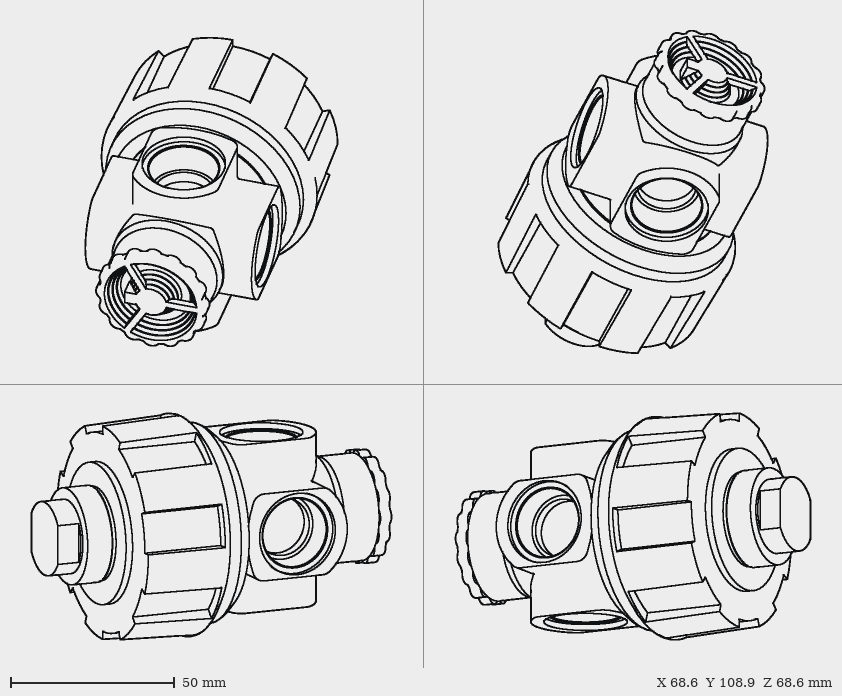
import cadquery as cq
import math


OVERALL_LENGTH = 108.9
SELECT_MARGIN = 0.1

PORT_REACH = 26.5
PORT_HALF_WIDTH = 13.6
PORT_FRONT_RADIUS = 16.8
PORT_BACK_RADIUS = 32.7
PORT_EDGE_FILLET = 3.8
PORT_CORNER_FILLET = 1.4
SEAT_RADIUS = 12.7
SEAT_DEPTH = 1.9
THREAD_RADIUS = 10.7
THREAD_END_RADIUS = 10.1
THREAD_CHAMFER = 0.3
THREAD_END_DEPTH = 10.8
DRILL_RADIUS = 8.9
DRILL_END_DEPTH = 14.5
DRILL_TIP_ANGLE = 118.0

PAD_RADIUS = 23.3
PAD_FRONT = 16.2
RING_FACE = PORT_FRONT_RADIUS
RING_FACE_RADIUS = 27.7
RING_SHOULDER_RADIUS = 30.3
RING_SHOULDER = 19.7
RING_RADIUS = 30.9
RING_FRONT = 20.9
RING_BACK = 24.6

NECK_RADIUS = 16.6
COLLAR_RADIUS = 17.6
COLLAR_FRONT = -17.9
NECK_START = -20.4
NECK_END = -32.0
NECK_ROOT = -8.7

RIM_RADIUS = 34.3
RIM_FRONT = 27.0
RIM_BACK = 27.9
RIM_FILLET = 1.5
BONNET_BACK = 53.4
LUG_COUNT = 8
LUG_PITCH = 360 / LUG_COUNT
LUG_SPAN = LUG_PITCH / 2
LUG_BACK_RADIUS = 33.4

FLANGE_RADIUS = 21.9
FLANGE_BACK = 55.6
HUB_NECK_RADIUS = 14.6
HUB_NECK_BACK = 56.9
HUB_RADIUS = 14.9
HUB_BACK = 65.3
STEM_RADIUS = 11.4
STEM_FLAT = 9.7
STEM_FLAT_LENGTH = 7.0

LOBE_COUNT = 16
LOBE_RADIUS = 2.9
KNOB_RADIUS = COLLAR_RADIUS
KNOB_FRONT = -36.1
KNOB_FILLET = 0.9
NOTCH_FILLET = 0.4
PLUG_RADIUS = 13.6
PLUG_END = -27.8
CHANNEL_FLOOR = -30.6
CHANNEL_INNER_FLOOR_RADIUS = 8.3
CHANNEL_INNER_FRONT_RADIUS = 4.8
CHANNEL_OUTER_FLOOR_RADIUS = 11.1
CHANNEL_OUTER_FRONT_RADIUS = 15.0
CHANNEL_STEPS = 4
CHANNEL_TREAD_SLOPE = 0.7
SPOKE_COUNT = 3
SPOKE_WIDTH = 2.3
SPOKE_THICKNESS = 2.2
POINTER_WIDTH = 4.1


def turned(points, angle=360):
    """Revolve a closed outline of (radius, y) points about the Y axis."""
    return cq.Workplane("XY").polyline(points).close().revolve(angle, (0, 0, 0), (0, 1, 0))


def about_y(shape, angle):
    return shape.rotate((0, 0, 0), (0, 1, 0), angle)


def port_pair():
    """Two opposite ports along Z as one bar."""
    front_corner = -math.sqrt(PORT_FRONT_RADIUS**2 - PORT_HALF_WIDTH**2)
    back_centre = PORT_FRONT_RADIUS - PORT_BACK_RADIUS
    back_corner = back_centre + math.sqrt(PORT_BACK_RADIUS**2 - PORT_HALF_WIDTH**2)
    return (
        cq.Workplane("XY")
        .moveTo(-PORT_HALF_WIDTH, front_corner)
        .threePointArc((0, -PORT_FRONT_RADIUS), (PORT_HALF_WIDTH, front_corner))
        .lineTo(PORT_HALF_WIDTH, back_corner)
        .threePointArc((0, PORT_FRONT_RADIUS), (-PORT_HALF_WIDTH, back_corner))
        .close()
        .extrude(PORT_REACH, both=True)
        .edges("|Z")
        .fillet(PORT_EDGE_FILLET)
    )


def port_cross():
    cross = port_pair().union(about_y(port_pair(), 90))
    middle = PORT_HALF_WIDTH + SELECT_MARGIN
    corners = cq.selectors.BoxSelector(
        (-middle, -PORT_FRONT_RADIUS, -middle), (middle, PORT_FRONT_RADIUS, middle)
    )
    return cross.edges("|Y").edges(corners).fillet(PORT_CORNER_FILLET)


def port_bore():
    """Seat, threaded bore and pointed drill hole of the +Z port."""
    seat = PORT_REACH - SEAT_DEPTH
    thread_end = PORT_REACH - THREAD_END_DEPTH
    drill_end = PORT_REACH - DRILL_END_DEPTH
    tip = drill_end - DRILL_RADIUS / math.tan(math.radians(DRILL_TIP_ANGLE / 2))
    outline = [
        (0, PORT_REACH),
        (SEAT_RADIUS, PORT_REACH),
        (SEAT_RADIUS, seat),
        (THREAD_RADIUS + THREAD_CHAMFER, seat),
        (THREAD_RADIUS, seat - THREAD_CHAMFER),
        (THREAD_END_RADIUS, thread_end),
        (DRILL_RADIUS, thread_end),
        (DRILL_RADIUS, drill_end),
        (0, tip),
    ]
    return cq.Workplane("XZ").polyline(outline).close().revolve(360, (0, 0, 0), (0, 1, 0))


def make_housing():
    core = turned([
        (0, RING_BACK),
        (RING_RADIUS, RING_BACK),
        (RING_RADIUS, RING_FRONT),
        (RING_SHOULDER_RADIUS, RING_SHOULDER),
        (RING_FACE_RADIUS, RING_FACE),
        (PAD_RADIUS, RING_FACE),
        (PAD_RADIUS, PAD_FRONT),
        (0, PAD_FRONT),
    ])
    neck = turned([
        (0, NECK_ROOT),
        (COLLAR_RADIUS, NECK_ROOT),
        (COLLAR_RADIUS, COLLAR_FRONT),
        (NECK_RADIUS, NECK_START),
        (NECK_RADIUS, NECK_END),
        (PLUG_RADIUS, NECK_END),
        (PLUG_RADIUS, PLUG_END),
        (0, PLUG_END),
    ])
    housing = port_cross().union(core).union(neck)
    for quarter in range(4):
        housing = housing.cut(about_y(port_bore(), 90 * quarter))
    return housing


def make_bonnet():
    bonnet = turned([
        (0, RING_BACK),
        (RING_RADIUS, RING_BACK),
        (RIM_RADIUS, RIM_FRONT),
        (RIM_RADIUS, RIM_BACK),
        (RING_RADIUS, RIM_BACK),
        (RING_RADIUS, BONNET_BACK),
        (0, BONNET_BACK),
    ])
    rim_edge = cq.selectors.BoxSelector(
        (-RIM_RADIUS, RIM_FRONT - SELECT_MARGIN, -RIM_RADIUS),
        (RIM_RADIUS, RIM_FRONT + SELECT_MARGIN, RIM_RADIUS),
    )
    bonnet = bonnet.edges(rim_edge).fillet(RIM_FILLET)
    lug_outline = [
        (0, RIM_BACK),
        (RIM_RADIUS, RIM_BACK),
        (LUG_BACK_RADIUS, BONNET_BACK),
        (0, BONNET_BACK),
    ]
    lug = turned(lug_outline, LUG_SPAN)
    for index in range(LUG_COUNT):
        bonnet = bonnet.union(about_y(lug, index * LUG_PITCH - LUG_SPAN))
    return bonnet


def make_adjuster():
    stem_back = KNOB_FRONT + OVERALL_LENGTH
    adjuster = turned([
        (0, BONNET_BACK),
        (FLANGE_RADIUS, BONNET_BACK),
        (FLANGE_RADIUS, FLANGE_BACK),
        (HUB_NECK_RADIUS, FLANGE_BACK),
        (HUB_NECK_RADIUS, HUB_NECK_BACK),
        (HUB_RADIUS, HUB_NECK_BACK),
        (HUB_RADIUS, HUB_BACK),
        (STEM_RADIUS, HUB_BACK),
        (STEM_RADIUS, stem_back),
        (0, stem_back),
    ])
    flat_depth = STEM_RADIUS - STEM_FLAT
    for side in (-1, 1):
        flat = cq.Workplane("XY").box(flat_depth, STEM_FLAT_LENGTH, 2 * STEM_RADIUS).translate(
            (side * (STEM_FLAT + flat_depth / 2), stem_back - STEM_FLAT_LENGTH / 2, 0)
        )
        adjuster = adjuster.cut(flat)
    return adjuster


def channel_wall(floor_radius, front_radius):
    """Stepped wall points from the channel floor to the knob face."""
    radius_step = (front_radius - floor_radius) / CHANNEL_STEPS
    depth_step = (KNOB_FRONT - CHANNEL_FLOOR) / CHANNEL_STEPS
    points = []
    for step in range(CHANNEL_STEPS):
        radius = floor_radius + step * radius_step
        depth = CHANNEL_FLOOR + step * depth_step
        points += [(radius, depth), (radius + CHANNEL_TREAD_SLOPE * radius_step, depth + depth_step)]
    return points


def channel():
    """Ring-shaped recess in the knob face, interrupted by the spokes and the pointer."""
    inner = channel_wall(CHANNEL_INNER_FLOOR_RADIUS, CHANNEL_INNER_FRONT_RADIUS)
    outer = channel_wall(CHANNEL_OUTER_FLOOR_RADIUS, CHANNEL_OUTER_FRONT_RADIUS)
    recess = turned(inner + outer[::-1])

    spoke = cq.Workplane("XY").box(NECK_RADIUS, SPOKE_THICKNESS, SPOKE_WIDTH).translate(
        (NECK_RADIUS / 2, KNOB_FRONT + SPOKE_THICKNESS / 2, 0)
    )
    for index in range(SPOKE_COUNT):
        recess = recess.cut(about_y(spoke, index * 360 / SPOKE_COUNT))

    pointer_length = CHANNEL_INNER_FLOOR_RADIUS
    pointer = cq.Workplane("XY").box(pointer_length, CHANNEL_FLOOR - KNOB_FRONT, POINTER_WIDTH).translate(
        (-pointer_length / 2, (CHANNEL_FLOOR + KNOB_FRONT) / 2, 0)
    )
    return recess.cut(pointer)


def make_knob():
    height = NECK_END - KNOB_FRONT
    face = cq.Workplane("XZ", origin=(0, NECK_END, 0))
    knob = face.circle(NECK_RADIUS).extrude(height)
    lobes = face.polarArray(KNOB_RADIUS - LOBE_RADIUS, 0, 360, LOBE_COUNT).circle(LOBE_RADIUS).extrude(height)
    knob = knob.union(lobes).edges("|Y").fillet(NOTCH_FILLET)
    knob = knob.faces("<Y").edges().fillet(KNOB_FILLET)
    plug = cq.Workplane("XZ", origin=(0, PLUG_END, 0)).circle(PLUG_RADIUS).extrude(PLUG_END - NECK_END)
    knob = knob.union(plug)
    return knob.cut(channel())


housing = make_housing()
bonnet = make_bonnet()
adjuster = make_adjuster()
knob = make_knob()

result = cq.Compound.makeCompound([housing.val(), bonnet.val(), adjuster.val(), knob.val()])